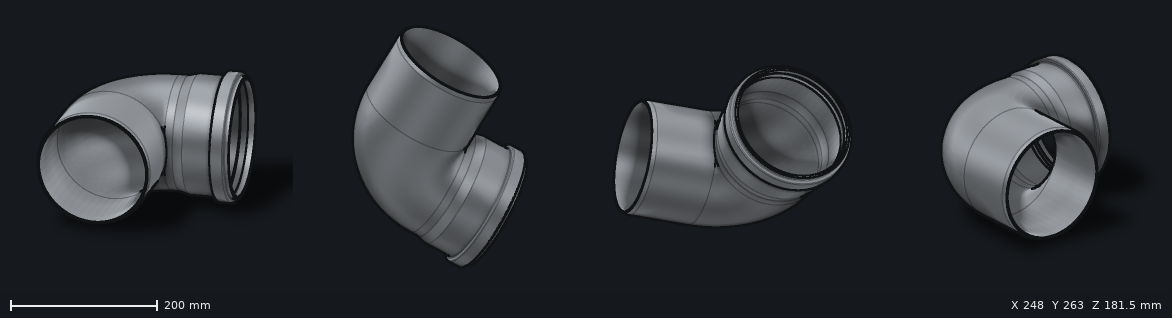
import cadquery as cq
import math

bend_angle = 87.5
bend_radius = 75.7
pipe_radius = 160.5 / 2
bore_radius = 152.3 / 2

spigot_length = 93.0
chamfer_length = 7.0
chamfer_depth = 2.0

neck_length = 12.0
body_start = 26.3
collar_start = 66.3
collar_end = 85.2
socket_length = 91.8
body_radius = 167.8 / 2
collar_radius = 181.5 / 2
lip_radius = 168.3 / 2
collar_fillet = 1.3

body_bore_radius = 160.7 / 2
lip_bore_radius = 161.2 / 2
groove_radius = 174.5 / 2
collar_wall = collar_radius - groove_radius
groove_start = collar_start + collar_wall
groove_end = collar_end - collar_wall


def spigot_outside():
    profile = (
        cq.Workplane("XY")
        .lineTo(pipe_radius - chamfer_depth, 0)
        .lineTo(pipe_radius, chamfer_length)
        .lineTo(pipe_radius, spigot_length)
        .lineTo(0, spigot_length)
        .close()
    )
    return profile.revolve(360, (0, 0), (0, 1))


def spigot_bore():
    return cq.Workplane("XZ").circle(bore_radius).extrude(-spigot_length)


def bend(radius):
    """Sweep the part of the round section outside the pivot line, which cuts the circle."""
    half_chord = math.sqrt(radius**2 - bend_radius**2)
    section = (
        cq.Workplane("XZ", origin=(0, spigot_length, 0))
        .moveTo(bend_radius, -half_chord)
        .threePointArc((-radius, 0), (bend_radius, half_chord))
        .close()
    )
    return section.revolve(bend_angle, (bend_radius, 2.5), (bend_radius, 0))


def place_socket(socket):
    """Move a socket built along +X from the origin onto the end of the bend."""
    pivot = (bend_radius, spigot_length, 0)
    axis_end = (bend_radius, spigot_length, 1)
    on_pivot = socket.translate((bend_radius, spigot_length + bend_radius, 0))
    return on_pivot.rotate(pivot, axis_end, 90 - bend_angle)


def socket_outside():
    blend = collar_fillet
    profile = (
        cq.Workplane("XY")
        .lineTo(0, pipe_radius)
        .lineTo(neck_length, pipe_radius)
        .lineTo(body_start, body_radius)
        .lineTo(collar_start - blend, body_radius)
        .tangentArcPoint((collar_start, body_radius + blend), relative=False)
        .lineTo(collar_start, collar_radius - blend)
        .tangentArcPoint((collar_start + blend, collar_radius), relative=False)
        .lineTo(collar_end - blend, collar_radius)
        .tangentArcPoint((collar_end, collar_radius - blend), relative=False)
        .lineTo(collar_end, lip_radius + blend)
        .tangentArcPoint((collar_end + blend, lip_radius), relative=False)
        .lineTo(socket_length, lip_radius)
        .lineTo(socket_length, 0)
        .close()
    )
    return profile.revolve(360, (0, 0), (1, 0))


def socket_bore():
    """Stepped bore with a seal groove inside the collar."""
    profile = (
        cq.Workplane("XY")
        .lineTo(0, bore_radius)
        .lineTo(neck_length, bore_radius)
        .lineTo(body_start, body_bore_radius)
        .lineTo(groove_start, body_bore_radius)
        .lineTo(groove_start, groove_radius)
        .lineTo(groove_end, groove_radius)
        .lineTo(groove_end, lip_bore_radius)
        .lineTo(socket_length, lip_bore_radius)
        .lineTo(socket_length, 0)
        .close()
    )
    return profile.revolve(360, (0, 0), (1, 0))


outside = spigot_outside().union(bend(pipe_radius)).union(place_socket(socket_outside()))
inside = spigot_bore().union(bend(bore_radius)).union(place_socket(socket_bore()))
result = outside.cut(inside)